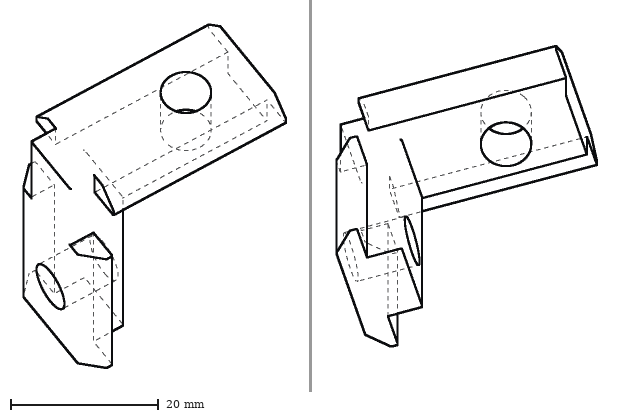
import cadquery as cq

WIDTH = 19.0
DEPTH = 32.0
HEIGHT = 38.0

ARM_THICKNESS = 8.7
CORE_WIDTH = 9.6
WING_DEPTH = 3.8
WING_BEVEL = 2.8
EDGE_RADIUS = 0.2

UPPER_WING_START = 4.0
LOWER_WING_START = 12.95

HOLE_DIAMETER = 6.85
HOLE_FROM_END = 10.0


def make_core():
    """L-shaped core with its long edges rounded and its two end faces left sharp."""
    outline = [
        (0, 0),
        (0, HEIGHT),
        (DEPTH, HEIGHT),
        (DEPTH, HEIGHT - ARM_THICKNESS),
        (ARM_THICKNESS, HEIGHT - ARM_THICKNESS),
        (ARM_THICKNESS, 0),
    ]
    return (
        cq.Workplane("YZ")
        .polyline(outline)
        .close()
        .extrude(CORE_WIDTH / 2, both=True)
        .edges("(|Y and (not <Z)) or (|Z and (not >Y))")
        .fillet(EDGE_RADIUS)
    )


def make_wings(arm_length, wing_start):
    """Bevelled bar along +Y with its outer face on Z = 0; it forms both wings of an arm."""
    return (
        cq.Workplane("XY")
        .box(WIDTH, arm_length - wing_start, WING_DEPTH, centered=(True, False, False))
        .translate((0, wing_start, -WING_DEPTH))
        .edges("|Y and >Z")
        .chamfer(WING_BEVEL)
        .edges("|Y")
        .fillet(EDGE_RADIUS)
    )


def make_hole(arm_length):
    """Cylinder that pierces an arm lying along +Y below Z = 0."""
    return (
        cq.Workplane("XY")
        .center(0, arm_length - HOLE_FROM_END)
        .circle(HOLE_DIAMETER / 2)
        .extrude(-ARM_THICKNESS)
    )


def on_upper_arm(shape):
    """Lift a shape so that its outer face lies on the top of the bracket."""
    return shape.translate((0, 0, HEIGHT))


def on_lower_arm(shape):
    """Hang a shape along -Z from the corner, with its outer face on Y = 0."""
    hanging = shape.rotate((0, 0, 0), (1, 0, 0), -90).mirror("XZ")
    return hanging.translate((0, 0, HEIGHT))


result = (
    make_core()
    .union(on_upper_arm(make_wings(DEPTH, UPPER_WING_START)))
    .union(on_lower_arm(make_wings(HEIGHT, LOWER_WING_START)))
    .cut(on_upper_arm(make_hole(DEPTH)))
    .cut(on_lower_arm(make_hole(HEIGHT)))
)